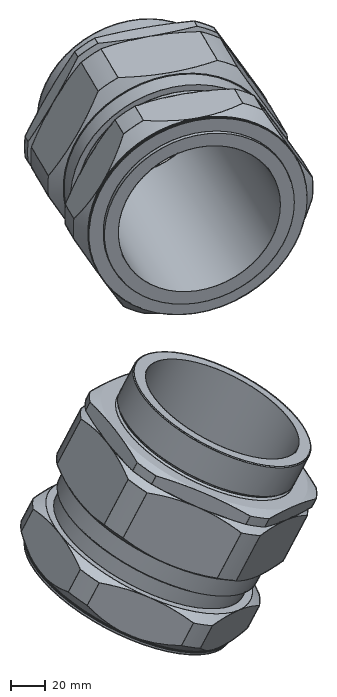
import cadquery as cq
import math

total_length = 131.1
bore_radius = 49.6

across_flats = 133.5
corner_diameter = 146.7
flat_radius = across_flats / 2
corner_radius = corner_diameter / 2
across_sharp_corners = across_flats / math.cos(math.radians(30))

spigot_radius = 57.5
spigot_length = 22.0
spigot_chamfer = 0.6
undercut_radius = 56.2
undercut_width = 0.9
undercut_end = spigot_length + undercut_width

locknut_start = 24.0
body_start = 33.9
collar_start = 75.5
collar_end = 87.5
cap_start = 99.0
cap_cone_end = 126.3
cap_end = 128.6

locknut_cone = 1.9
body_front_cone = 4.3
body_back_cone = 4.8
cap_front_cone = 4.0
cap_back_cone = 7.0

body_back_radius = 65.5

collar_radius = 65.0
neck_radius = 61.7
neck_chamfer_length = 1.2
neck_chamfer_height = 0.7

rim_groove_width = 0.9
rim_groove_depth = 0.5
rim_groove_end = cap_cone_end + rim_groove_width
rim_groove_radius = flat_radius - rim_groove_depth
end_ring_radius = 58.1


def turned(outline):
    """Solid of revolution about X from (x, radius) points, filled to the axis."""
    first_x = outline[0][0]
    last_x = outline[-1][0]
    points = [(first_x, 0), *outline, (last_x, 0)]
    return cq.Workplane("XY").polyline(points).close().revolve(360, (0, 0, 0), (1, 0, 0))


def trimmed_hexagon(start, end, front_cone, back_cone, back_radius):
    """Hexagonal prism along X whose corners are trimmed by a cylinder and two end cones."""
    prism = (
        cq.Workplane("YZ")
        .workplane(offset=start)
        .polygon(6, across_sharp_corners)
        .extrude(end - start)
    )
    envelope = turned([
        (start, flat_radius),
        (start + front_cone, corner_radius),
        (end - back_cone, corner_radius),
        (end, back_radius),
    ])
    return prism.intersect(envelope)


spigot = turned([
    (0, spigot_radius - spigot_chamfer),
    (spigot_chamfer, spigot_radius),
    (spigot_length - spigot_chamfer, spigot_radius),
    (spigot_length, undercut_radius),
    (undercut_end, undercut_radius),
    (locknut_start, spigot_radius),
])

locknut = trimmed_hexagon(locknut_start, body_start, locknut_cone, locknut_cone, flat_radius)

body = trimmed_hexagon(body_start, collar_start, body_front_cone, body_back_cone, body_back_radius)

collar_and_neck = turned([
    (collar_start, collar_radius),
    (collar_end, collar_radius),
    (collar_end, neck_radius - neck_chamfer_height),
    (collar_end + neck_chamfer_length, neck_radius),
    (cap_start, neck_radius),
])

cap = trimmed_hexagon(cap_start, cap_cone_end, cap_front_cone, cap_back_cone, flat_radius)

cap_rim_and_end_ring = turned([
    (cap_cone_end, rim_groove_radius),
    (rim_groove_end, rim_groove_radius),
    (rim_groove_end, flat_radius),
    (cap_end, flat_radius),
    (cap_end, end_ring_radius),
    (total_length, end_ring_radius),
])

result = spigot
for section in (locknut, body, collar_and_neck, cap, cap_rim_and_end_ring):
    result = result.union(section)

bore = cq.Workplane("YZ").circle(bore_radius).extrude(total_length)
result = result.cut(bore)